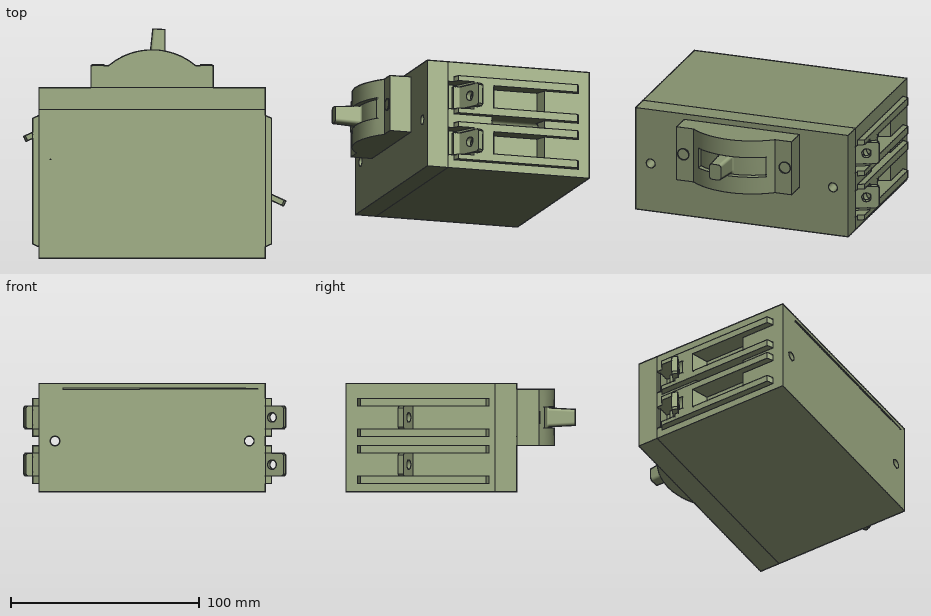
import cadquery as cq
import math


housing_width = 120.0
housing_depth = 79.0
height = 57.5
cover_depth = 11.5
cover_front = housing_depth + cover_depth
side_x = housing_width / 2

pole_spacing = 25.0
middle_z = -1.8
pole_heights = [middle_z + pole_spacing / 2, middle_z - pole_spacing / 2]
rib_height = 3.3
rib_thickness = 4.0
rib_start_y = 6.1
rib_end_y = 75.8
rib_end_bevel = 1.5
pair_height = 20.2
channel_height = pair_height - 2 * rib_thickness
rib_top_x = side_x + rib_height

pocket_start_y = 25.2
pocket_end_y = 54.5
pocket_start_slope = 2.1
pocket_end_slope = 2.9
pocket_depth = 6.1
gap_between_pairs = pole_spacing - pair_height

mounting_hole_diameter = 5.0
mounting_hole_x = 51.4

slit_left = -47.3
slit_right = 56.2
slit_taper_start = 46.3
slit_top_z = 26.3
slit_height = 0.8
slit_depth = 0.7

terminal_angle = 25.0
terminal_thickness = 3.0
terminal_width = channel_height
plate_length = 14.6
leg_length = 3.3
leg_straight_length = 1.7
leg_end_lean = 0.1
bend_radius = 0.7
terminal_corner = 1.0
terminal_hole_diameter = 5.0
terminal_hole_distance = 6.8
left_tip_x = -68.1
left_tip_y = 64.6
right_tip_x = 70.9
right_tip_y = 30.5
leg_face = plate_length * math.cos(math.radians(terminal_angle))
leg_start = plate_length * math.sin(math.radians(terminal_angle))

recess_height = 14.9
recess_floor_x = left_tip_x + leg_face + terminal_thickness
recess_slope_low_y = 65.6
recess_slope_high_y = 72.0
recess_step_width = 0.8
recess_step_depth = 2.0
notch_diameter = 8.0
notch_start_y = 60.9

hump_width = 64.9
hump_height = 30.0
hump_middle_z = pole_heights[0]
shoulder_y = cover_front + 11.7
crown_radius = 36.0
crown_rise = 8.3
crown_center_y = shoulder_y + crown_rise - crown_radius
crown_half_chord = math.sqrt(crown_radius**2 - (crown_radius - crown_rise) ** 2)
slot_width = 38.1
slot_height = 11.1
slot_floor_y = 97.3
screw_head_diameter = 6.3
screw_head_rise = 0.5
screw_head_x = 28.6

hub_radius = 33.0
lever_front = 121.6
arm_top_x = 3.6
arm_top_width = 6.7
arm_top_height = 8.6
arm_taper = 3.0
arm_tilt = 3.0
arm_length = 16.7
arm_edge_radius = 1.7
arm_root_radius = 1.1


def slab(points, z_middle, thickness):
    """Prism of an XY outline, centred on z_middle."""
    return cq.Workplane("XY", origin=(0, 0, z_middle)).polyline(points).close().extrude(thickness / 2, both=True)


def mounting_hole(x):
    hole = cq.Workplane("XZ", origin=(x, 0, middle_z)).circle(mounting_hole_diameter / 2)
    return hole.extrude(-cover_front)


def side_bar(side, start_y, start_bevel, z_middle, thickness):
    """Bar standing on a side wall, from start_y to the common bevelled end of the ribs."""
    return slab(
        [
            (side * side_x, start_y),
            (side * rib_top_x, start_y + start_bevel),
            (side * rib_top_x, rib_end_y - rib_end_bevel),
            (side * side_x, rib_end_y),
        ],
        z_middle,
        thickness,
    )


def side_pocket(z_middle, pocket_height, depth, end_x):
    """Pocket in the -X wall with sloping ends; its upper end wall starts at end_x."""
    pocket_floor_x = depth - side_x
    return slab(
        [
            (-side_x, pocket_start_y),
            (pocket_floor_x, pocket_start_y + pocket_start_slope),
            (pocket_floor_x, pocket_end_y - pocket_end_slope),
            (end_x, pocket_end_y),
            (end_x, pocket_start_y),
        ],
        z_middle,
        pocket_height,
    )


def terminal_recess(z_middle):
    """Opening in front of a left terminal: stepped floor, sloping back wall and a round notch."""
    opening = slab(
        [
            (-rib_top_x, recess_slope_low_y),
            (recess_floor_x, recess_slope_high_y),
            (recess_floor_x, housing_depth - recess_step_width),
            (recess_step_depth - side_x, housing_depth - recess_step_width),
            (recess_step_depth - side_x, housing_depth),
            (-rib_top_x, housing_depth),
        ],
        z_middle,
        recess_height,
    )
    notch = cq.Workplane("XZ", origin=(-rib_top_x, notch_start_y, z_middle)).circle(notch_diameter / 2)
    return opening.union(notch.extrude(notch_start_y - recess_slope_high_y))


def terminal_blank(side, tip_x, tip_y, z_middle):
    """Undrilled terminal with its outermost edge at (tip_x, tip_y); side is -1 for -X and +1 for +X."""
    angle = math.radians(terminal_angle)
    leg_back = leg_face + terminal_thickness
    lower_x = terminal_thickness * math.sin(angle)
    lower_y = -terminal_thickness * math.cos(angle)
    outline = [
        (0, 0),
        (leg_face, leg_start),
        (leg_face, leg_start + leg_straight_length),
        (leg_face - leg_end_lean, leg_start + leg_length),
        (leg_back, leg_start + leg_length),
        (leg_back, lower_y + (leg_back - lower_x) * math.tan(angle)),
        (lower_x, lower_y),
    ]
    terminal = slab(outline, 0, terminal_width)
    terminal = terminal.edges(cq.selectors.NearestToPointSelector((leg_face, leg_start, 0))).fillet(bend_radius)
    plate_direction = cq.Vector(math.cos(angle), math.sin(angle), 0)
    tip_face = terminal.faces(cq.selectors.DirectionMinMaxSelector(plate_direction, False))
    terminal = tip_face.edges("<Z or >Z").chamfer(terminal_corner)
    if side > 0:
        terminal = terminal.mirror("YZ")
    return terminal.translate((tip_x, tip_y, z_middle))


def terminal_hole(side, tip_x, tip_y, z_middle):
    """Cylinder square to the sloping plate of the terminal at the same place."""
    angle = math.radians(terminal_angle)
    hole_plane = cq.Plane(
        origin=(
            tip_x - side * terminal_hole_distance * math.cos(angle),
            tip_y + terminal_hole_distance * math.sin(angle),
            z_middle,
        ),
        xDir=(-side * math.cos(angle), math.sin(angle), 0),
        normal=(-side * math.sin(angle), -math.cos(angle), 0),
    )
    return cq.Workplane(hole_plane).circle(terminal_hole_diameter / 2).extrude(terminal_thickness)


def back_slit():
    """Thin slit in the back face, running out to a point at its +X end."""
    slit_bottom_z = slit_top_z - slit_height
    outline = [
        (slit_left, slit_bottom_z),
        (slit_right, slit_top_z - slit_height / 2),
        (slit_taper_start, slit_top_z),
        (slit_left, slit_top_z),
    ]
    return cq.Workplane("XZ").polyline(outline).close().extrude(-slit_depth)


def make_housing(terminal_places):
    housing = cq.Workplane("XY").box(housing_width, housing_depth, height, centered=(True, False, True))
    rib_offset = (pair_height - rib_thickness) / 2
    for z in pole_heights:
        for side in (-1, 1):
            for rib_z in (z - rib_offset, z + rib_offset):
                housing = housing.union(side_bar(side, rib_start_y, rib_end_bevel, rib_z, rib_thickness))
        housing = housing.union(side_bar(-1, pocket_end_y - pocket_end_slope, 0, z, pair_height))
        housing = housing.cut(side_pocket(z, channel_height, pocket_depth, -rib_top_x)).cut(terminal_recess(z))
    hole_axis_depth = side_x - mounting_hole_x
    housing = housing.cut(side_pocket(middle_z, gap_between_pairs, hole_axis_depth, -side_x))
    for x in (-mounting_hole_x, mounting_hole_x):
        housing = housing.cut(mounting_hole(x))
    for place in terminal_places:
        housing = housing.cut(terminal_blank(*place))
    return housing.cut(back_slit())


def lever_slot():
    slot = cq.Workplane("XY", origin=(0, slot_floor_y, hump_middle_z))
    return slot.box(slot_width, crown_radius, slot_height, centered=(True, False, True))


def make_cover():
    plate = cq.Workplane("XY", origin=(0, housing_depth, 0))
    cover = plate.box(housing_width, cover_depth, height, centered=(True, False, True))
    hump = (
        cq.Workplane("XY", origin=(0, 0, hump_middle_z))
        .moveTo(-hump_width / 2, cover_front)
        .lineTo(hump_width / 2, cover_front)
        .lineTo(hump_width / 2, shoulder_y)
        .lineTo(crown_half_chord, shoulder_y)
        .threePointArc((0, shoulder_y + crown_rise), (-crown_half_chord, shoulder_y))
        .lineTo(-hump_width / 2, shoulder_y)
        .close()
        .extrude(hump_height / 2, both=True)
    )
    cover = cover.union(hump).cut(lever_slot())
    for x in (-screw_head_x, screw_head_x):
        head = cq.Workplane("XZ", origin=(x, shoulder_y, hump_middle_z)).circle(screw_head_diameter / 2)
        cover = cover.union(head.extrude(-screw_head_rise))
    for x in (-mounting_hole_x, mounting_hole_x):
        cover = cover.cut(mounting_hole(x))
    return cover


def make_lever():
    """Tapered, tilted arm on a round hub that fills the slot of the cover."""
    drum = cq.Workplane("XY", origin=(0, crown_center_y, hump_middle_z)).circle(hub_radius)
    hub = drum.extrude(slot_height / 2, both=True).intersect(lever_slot())
    arm_top_y = lever_front - arm_top_width / 2 * math.sin(math.radians(arm_tilt))
    arm_growth = 2 * arm_length * math.tan(math.radians(arm_taper))
    arm_base = cq.Plane(
        origin=(arm_top_x, arm_top_y - arm_length, hump_middle_z),
        xDir=(1, 0, 0),
        normal=(0, 1, 0),
    )
    arm = (
        cq.Workplane(arm_base)
        .rect(arm_top_width + arm_growth, arm_top_height + arm_growth)
        .extrude(arm_length, taper=arm_taper)
        .edges("not #Y")
        .fillet(arm_edge_radius)
    )
    arm = arm.rotate((arm_top_x, arm_top_y, 0), (arm_top_x, arm_top_y, 1), -arm_tilt)
    lever = hub.union(arm)
    half_root = slot_height / 2 - arm_root_radius / 2
    root_edges = cq.selectors.BoxSelector(
        (-slot_width / 2, shoulder_y, hump_middle_z - half_root),
        (slot_width / 2, crown_center_y + hub_radius + arm_root_radius, hump_middle_z + half_root),
    )
    return lever.edges(root_edges).fillet(arm_root_radius)


terminal_places = []
for pole_z in pole_heights:
    terminal_places.append((-1, left_tip_x, left_tip_y, pole_z))
    terminal_places.append((1, right_tip_x, right_tip_y, pole_z))

terminals = []
for place in terminal_places:
    terminals.append(terminal_blank(*place).cut(terminal_hole(*place)))

housing = make_housing(terminal_places)
cover = make_cover()
lever = make_lever()

result = cq.Compound.makeCompound(
    [housing.val(), cover.val(), lever.val(), *[terminal.val() for terminal in terminals]]
)